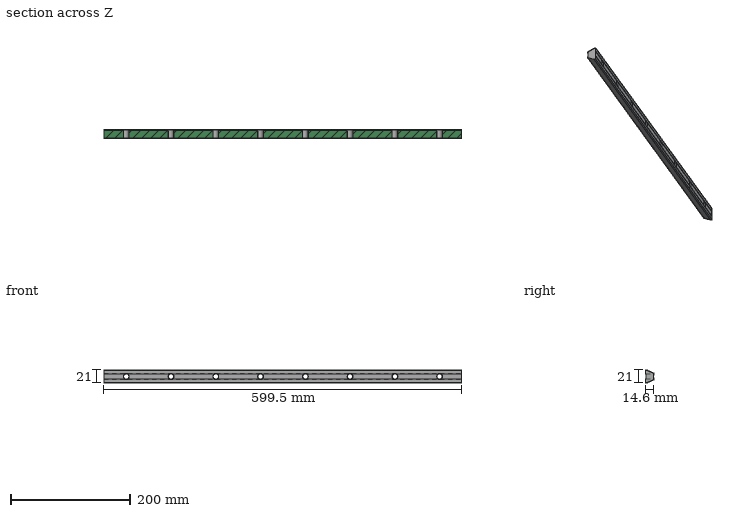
import cadquery as cq

LENGTH = 599.5
DEPTH = 14.61
HEIGHT = 21.0

FLANGE_THICKNESS = 3.0
BEVEL_RUN = 1.3
BEVEL_DROP = 0.6
BACK_HEIGHT = 10.3
BACK_HOLLOW_DEPTH = 1.0
FRONT_GROOVE_WIDTH = 9.0
FRONT_GROOVE_DEPTH = 0.5

HOLE_DIAMETER = 8.95
HOLE_COUNT = 8
HOLE_PITCH = 75.0
FIRST_HOLE_OFFSET = HOLE_PITCH / 2

FRONT_Y = -DEPTH / 2
BACK_Y = DEPTH / 2
LEFT_X = -LENGTH / 2


def make_rail():
    """Extrude the tapered section along X, centred on the origin."""
    top_z = HEIGHT / 2
    back_corner_z = BACK_HEIGHT / 2
    flange_y = FRONT_Y + FLANGE_THICKNESS
    bevel_y = flange_y + BEVEL_RUN
    bevel_z = top_z - BEVEL_DROP
    return (
        cq.Workplane("YZ")
        .moveTo(FRONT_Y, -top_z)
        .lineTo(FRONT_Y, top_z)
        .lineTo(flange_y, top_z)
        .lineTo(bevel_y, bevel_z)
        .lineTo(BACK_Y, back_corner_z)
        .threePointArc((BACK_Y - BACK_HOLLOW_DEPTH, 0), (BACK_Y, -back_corner_z))
        .lineTo(bevel_y, -bevel_z)
        .lineTo(flange_y, -top_z)
        .close()
        .extrude(LENGTH / 2, both=True)
    )


def make_front_groove():
    """Shallow rectangular cutter along the whole front face."""
    cutter = cq.Workplane("XY").box(LENGTH, 2 * FRONT_GROOVE_DEPTH, FRONT_GROOVE_WIDTH)
    return cutter.translate((0, FRONT_Y, 0))


def make_holes():
    """Evenly spaced round cutters running through the full depth."""
    centres = [(LEFT_X + FIRST_HOLE_OFFSET + i * HOLE_PITCH, 0) for i in range(HOLE_COUNT)]
    return (
        cq.Workplane("XZ")
        .pushPoints(centres)
        .circle(HOLE_DIAMETER / 2)
        .extrude(DEPTH, both=True)
    )


result = make_rail().cut(make_front_groove()).cut(make_holes())